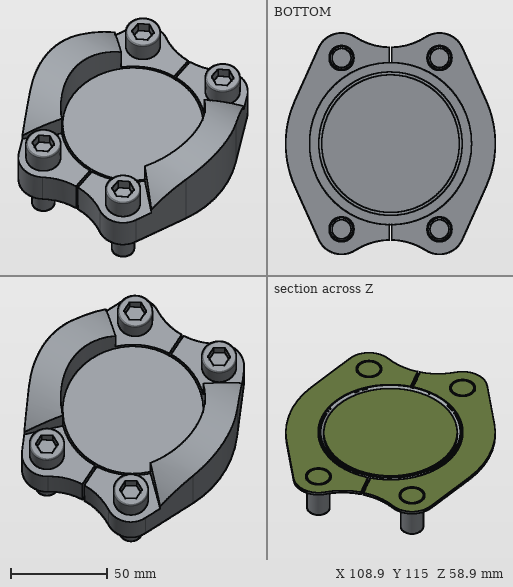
import cadquery as cq
import math


bolt_x = 50.8 / 2
bolt_y = 88.9 / 2
overall_length = 115.0
overall_width = 108.9
flange_height = 18.9
waist_y = 50.0
split_gap = 1.1
bore_diameter = 75.0
clearance_hole_diameter = 13.0

shoulder_top = 37.9
crown_radius = 60.1

shank_diameter = 12.0
head_diameter = 18.0
head_height = 12.0
head_edge_radius = 0.6
screw_bottom = -21.0
tip_chamfer = 1.0
socket_width = 10.0
socket_depth = 6.0

rim_diameter = 84.2
rim_thickness = 2.0
plug_diameter = 72.9
collar_top = 5.1
undercut_height = 1.5

seal_inner_diameter = 69.4
seal_outer_diameter = 76.5
seal_protrusion = 0.17

lug_radius = overall_length / 2 - bolt_y
side_radius = overall_width / 2

waist_to_bolt = waist_y - bolt_y
waist_radius = (bolt_x**2 + waist_to_bolt**2 - lug_radius**2) / (2 * (lug_radius - waist_to_bolt))
waist_share = waist_radius / (waist_radius + lug_radius)
waist_centre_y = waist_y + waist_radius
waist_tangent_x = bolt_x * waist_share
waist_tangent_y = waist_centre_y + (bolt_y - waist_centre_y) * waist_share

bolt_distance = math.hypot(bolt_x, bolt_y)
flank_angle = math.atan2(bolt_y, bolt_x) - math.acos((side_radius - lug_radius) / bolt_distance)
side_tangent_x = side_radius * math.cos(flank_angle)
side_tangent_y = side_radius * math.sin(flank_angle)
lug_tangent_x = bolt_x + lug_radius * math.cos(flank_angle)
lug_tangent_y = bolt_y + lug_radius * math.sin(flank_angle)

bolt_points = [(sx * bolt_x, sy * bolt_y) for sx in (-1, 1) for sy in (-1, 1)]


def cylinder(diameter, bottom, top):
    """Solid cylinder on the Z axis between two heights."""
    return cq.Workplane("XY").workplane(offset=bottom).circle(diameter / 2).extrude(top - bottom)


def clamp_outline():
    """Closed outline of both halves together, drawn clockwise from the -X side."""
    lug_top = bolt_y + lug_radius
    return (
        cq.Workplane("XY")
        .moveTo(-side_tangent_x, -side_tangent_y)
        .threePointArc((-side_radius, 0), (-side_tangent_x, side_tangent_y))
        .lineTo(-lug_tangent_x, lug_tangent_y)
        .threePointArc((-bolt_x, lug_top), (-waist_tangent_x, waist_tangent_y))
        .threePointArc((0, waist_y), (waist_tangent_x, waist_tangent_y))
        .threePointArc((bolt_x, lug_top), (lug_tangent_x, lug_tangent_y))
        .lineTo(side_tangent_x, side_tangent_y)
        .threePointArc((side_radius, 0), (side_tangent_x, -side_tangent_y))
        .lineTo(lug_tangent_x, -lug_tangent_y)
        .threePointArc((bolt_x, -lug_top), (waist_tangent_x, -waist_tangent_y))
        .threePointArc((0, -waist_y), (-waist_tangent_x, -waist_tangent_y))
        .threePointArc((-bolt_x, -lug_top), (-lug_tangent_x, -lug_tangent_y))
        .close()
    )


def shoulder_envelope():
    """Space under the crown, limited to the two 90-degree sectors around the X axis."""
    reach = overall_length
    sectors = (
        cq.Workplane("XY")
        .polyline([(0, 0), (reach, reach), (reach, -reach)])
        .close()
        .polyline([(0, 0), (-reach, reach), (-reach, -reach)])
        .close()
        .extrude(shoulder_top)
    )
    crown = (
        cq.Workplane("YZ")
        .center(0, shoulder_top - crown_radius)
        .circle(crown_radius)
        .extrude(reach, both=True)
    )
    return sectors.intersect(crown)


def clamp_halves():
    """Flange and raised shoulders, bored for the plug, split along Y and drilled for the screws."""
    flange = clamp_outline().extrude(flange_height)
    shoulders = clamp_outline().extrude(shoulder_top).intersect(shoulder_envelope())
    split = cq.Workplane("XY").box(split_gap, overall_length, flange_height, centered=(True, True, False))
    holes = (
        cq.Workplane("XY")
        .pushPoints(bolt_points)
        .circle(clearance_hole_diameter / 2)
        .extrude(flange_height)
    )
    bore = cylinder(bore_diameter, 0, shoulder_top)
    return flange.union(shoulders).cut(bore).cut(split).cut(holes)


def screw():
    """One screw on the Z axis, with its head seated on top of the flange."""
    head_top = flange_height + head_height
    head = cylinder(head_diameter, flange_height, head_top).faces(">Z").edges().fillet(head_edge_radius)
    shank = cylinder(shank_diameter, screw_bottom, flange_height).faces("<Z").edges().chamfer(tip_chamfer)
    socket = (
        cq.Workplane("XY")
        .workplane(offset=head_top - socket_depth)
        .polygon(6, socket_width, circumscribed=True)
        .extrude(socket_depth)
    )
    return head.union(shank).cut(socket)


def plug():
    """Blanking plug: thin rim under the halves, collar filling the bore and a clear upper disc.

    The collar is undercut just above the rim to make room for the seal ring.
    """
    rim = cylinder(rim_diameter, -rim_thickness, 0)
    core = cylinder(seal_inner_diameter, 0, undercut_height)
    collar = cylinder(bore_diameter, undercut_height, collar_top)
    disc = cylinder(plug_diameter, collar_top, flange_height)
    return rim.union(core).union(collar).union(disc)


def seal_ring():
    """Seal ring let into the plug, standing slightly proud of its underside."""
    section_radius = (seal_outer_diameter - seal_inner_diameter) / 4
    mean_radius = (seal_outer_diameter + seal_inner_diameter) / 4
    centre_z = section_radius - rim_thickness - seal_protrusion
    return cq.Workplane("XY").add(
        cq.Solid.makeTorus(mean_radius, section_radius, cq.Vector(0, 0, centre_z), cq.Vector(0, 0, 1))
    )


result = clamp_halves().union(plug()).union(seal_ring())
for x, y in bolt_points:
    result = result.union(screw().translate((x, y, 0)))